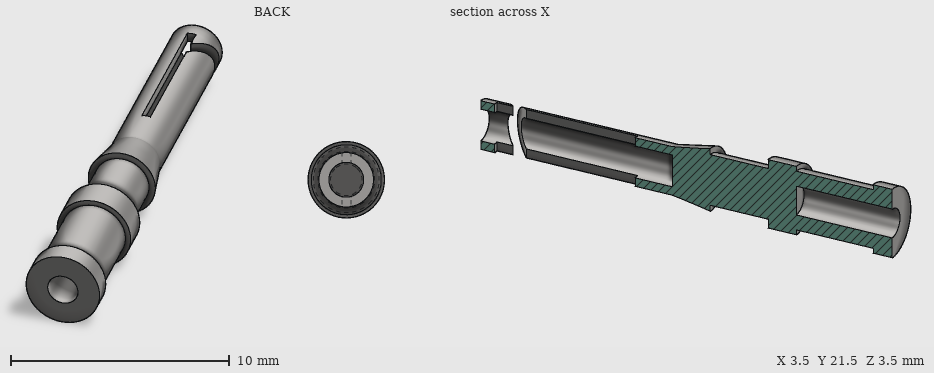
import cadquery as cq

length = 21.5

rim_diameter = 3.5
body_diameter = 3.0
neck_diameter = 2.6
barb_diameter = 3.2
barrel_diameter = 2.5

rim_end = 1.0
collar_start = 5.0
collar_end = 6.5
barb_start = 9.5
barb_end = 11.5

wire_bore_diameter = 1.45
wire_bore_depth = collar_start
socket_bore_diameter = 1.6
socket_bore_depth = length - barb_end

slot_width = 0.4
slot_start = 13.44
slot_end = 20.77

slant_mouth_low = 20.27
slant_mouth_high = 20.96


def rod(diameter, start, end):
    """Cylinder about the Y axis between two distances from the wire end."""
    return cq.Workplane("XZ", origin=(0, end, 0)).circle(diameter / 2).extrude(end - start)


def turned_outside():
    """Solid of revolution with the rim, body, collar, neck, barb and barrel."""
    return (
        cq.Workplane("XY")
        .moveTo(0, 0)
        .lineTo(rim_diameter / 2, 0)
        .lineTo(rim_diameter / 2, rim_end)
        .lineTo(body_diameter / 2, rim_end)
        .lineTo(body_diameter / 2, collar_start)
        .lineTo(rim_diameter / 2, collar_start)
        .lineTo(rim_diameter / 2, collar_end)
        .lineTo(neck_diameter / 2, collar_end)
        .lineTo(neck_diameter / 2, barb_start)
        .lineTo(barb_diameter / 2, barb_start)
        .lineTo(barrel_diameter / 2, barb_end)
        .lineTo(barrel_diameter / 2, length)
        .lineTo(0, length)
        .close()
        .revolve(360, (0, 0, 0), (0, 1, 0))
    )


def spring_slots():
    """Straight slot and slanted slot, both cut through the barrel along Z."""
    straight = (
        cq.Workplane("XY")
        .center(0, (slot_start + slot_end) / 2)
        .rect(slot_width, slot_end - slot_start)
        .extrude(barrel_diameter, both=True)
    )
    reach = barrel_diameter / 2
    slanted = (
        cq.Workplane("XY")
        .polyline([
            (0, slant_mouth_low - reach),
            (2 * reach, slant_mouth_low + reach),
            (2 * reach, slant_mouth_high + reach),
            (0, slant_mouth_high - reach),
        ])
        .close()
        .extrude(barrel_diameter, both=True)
    )
    return straight.union(slanted)


wire_bore = rod(wire_bore_diameter, 0, wire_bore_depth)
socket_bore = rod(socket_bore_diameter, length - socket_bore_depth, length)

contact = turned_outside().cut(wire_bore).cut(socket_bore).cut(spring_slots())

result = contact.translate((0, -length / 2, 0))